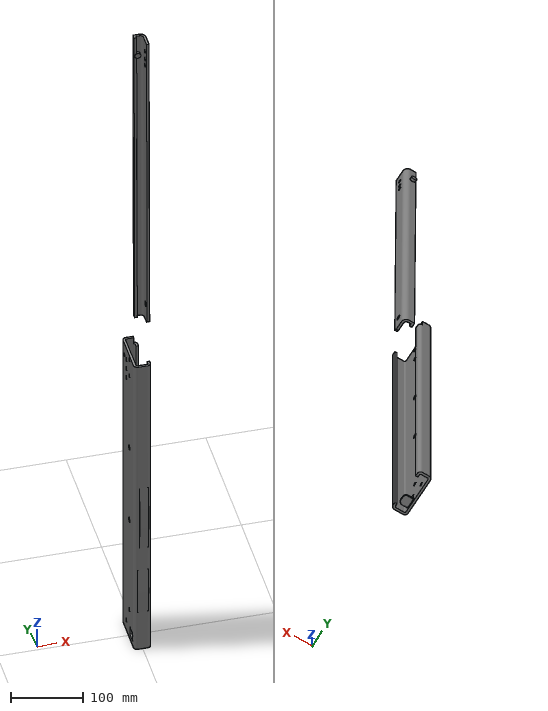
import cadquery as cq
import math

SHEET = 3.7
TOTAL_LENGTH = 1060.0
TOTAL_WIDTH = 24.0
TOTAL_DEPTH = 71.0
INNER_BEND = 1.6
OUTER_BEND = INNER_BEND + SHEET

CHANNEL_LENGTH = 500.0
PAD_HEIGHT = 2.0
NEAR_FLANGE_Y = PAD_HEIGHT
FAR_FLANGE_Y = TOTAL_DEPTH
FAR_LIP_X = 21.0
LIP_LENGTH = 10.0
LIP_NOTCH_HEIGHT = 11.0

MAIN_COLUMN_Y = 31.0
SIDE_COLUMN_Y = 48.0
LARGE_HOLE_DIAMETER = 7.0
SMALL_HOLE_DIAMETER = 5.0
LARGE_HOLES = [(MAIN_COLUMN_Y, 209.0), (MAIN_COLUMN_Y, 337.0)]
SMALL_HOLES = [
    (MAIN_COLUMN_Y, 50.0),
    (MAIN_COLUMN_Y, 464.0),
    (MAIN_COLUMN_Y, 493.0),
    (SIDE_COLUMN_Y, 18.0),
    (SIDE_COLUMN_Y, 448.0),
    (SIDE_COLUMN_Y, 464.0),
    (SIDE_COLUMN_Y, 480.0),
    (58.0, 480.0),
]

WINDOW_Y = (12.0, 28.0)
WINDOW_Z = (8.0, 21.0)
WINDOW_CHAMFER = 4.0
TONGUE_END_X = 18.0
TONGUE_THICKNESS = 3.0

LONG_PAD_X = (7.0, 20.0)
LONG_PAD_Z = (179.0, 284.0)
LONG_PAD_FLAT = 35.0
WIDE_PAD_X = (4.0, 20.0)
WIDE_PAD_Z = (66.0, 140.0)
WIDE_PAD_FLAT = 4.0

RAIL_LENGTH = 493.0
RAIL_BOTTOM_Z = TOTAL_LENGTH - RAIL_LENGTH
RAIL_NEAR_Y = 15.0
RAIL_FAR_Y = 40.0
RAIL_LIP_X = 7.0
RAIL_LIP_LENGTH = 7.0
RAIL_INNER_BEND = 4.0
RAIL_CORNER_CHAMFER = 4.0
RAIL_DRIFT = 3.7
RAIL_LARGE_HOLES = [(24.0, 596.0)]
RAIL_SMALL_HOLES = [(24.0, 1017.0), (24.0, 1027.0), (24.0, 1041.0)]
PIN_X = 13.0
PIN_Z = 1028.0
PIN_DIAMETER = 8.0
PIN_PROJECTION = 4.0


def extrude_outline(points, bottom_z, length):
    return cq.Workplane("XY").workplane(offset=bottom_z).polyline(points).close().extrude(length)


def round_bend(body, x, y, mid_z, radius):
    """Round the lengthwise edge at (x, y)."""
    return body.edges(cq.NearestToPointSelector((x, y, mid_z))).fillet(radius)


def web_holes(places, diameter):
    """Drills along X at each (y, z), long enough to cross either rail."""
    return cq.Workplane("YZ").pushPoints(places).circle(diameter / 2).extrude(TOTAL_WIDTH)


def channel_sheet():
    far_lip_inner_x = FAR_LIP_X - SHEET
    far_inner_y = FAR_FLANGE_Y - SHEET
    far_lip_end_y = FAR_FLANGE_Y - LIP_LENGTH
    near_lip_inner_x = TOTAL_WIDTH - SHEET
    near_inner_y = NEAR_FLANGE_Y + SHEET
    near_lip_end_y = NEAR_FLANGE_Y + LIP_LENGTH
    outer_corners = [
        (FAR_LIP_X, FAR_FLANGE_Y),
        (0, FAR_FLANGE_Y),
        (0, NEAR_FLANGE_Y),
        (TOTAL_WIDTH, NEAR_FLANGE_Y),
    ]
    inner_corners = [
        (near_lip_inner_x, near_inner_y),
        (SHEET, near_inner_y),
        (SHEET, far_inner_y),
        (far_lip_inner_x, far_inner_y),
    ]
    near_lip_end = [(TOTAL_WIDTH, near_lip_end_y), (near_lip_inner_x, near_lip_end_y)]
    far_lip_end = [(far_lip_inner_x, far_lip_end_y), (FAR_LIP_X, far_lip_end_y)]
    outline = outer_corners + near_lip_end + inner_corners + far_lip_end
    sheet = extrude_outline(outline, 0, CHANNEL_LENGTH)
    for x, y in outer_corners:
        sheet = round_bend(sheet, x, y, CHANNEL_LENGTH / 2, OUTER_BEND)
    for x, y in inner_corners:
        sheet = round_bend(sheet, x, y, CHANNEL_LENGTH / 2, INNER_BEND)
    return sheet


def ramped_pad(x_range, z_range, flat_length):
    """A pad on the near flange that ramps up to a flat crest in the middle."""
    x_start, x_end = x_range
    z_start, z_end = z_range
    mid_z = (z_start + z_end) / 2
    root_y = NEAR_FLANGE_Y + SHEET / 2
    crest_y = NEAR_FLANGE_Y - PAD_HEIGHT
    side = [
        (root_y, z_start),
        (NEAR_FLANGE_Y, z_start),
        (crest_y, mid_z - flat_length / 2),
        (crest_y, mid_z + flat_length / 2),
        (NEAR_FLANGE_Y, z_end),
        (root_y, z_end),
    ]
    return cq.Workplane("YZ").workplane(offset=x_start).polyline(side).close().extrude(x_end - x_start)


def window():
    y_start, y_end = WINDOW_Y
    z_start, z_end = WINDOW_Z
    outline = [
        (y_end, z_start),
        (y_end, z_end),
        (y_start + WINDOW_CHAMFER, z_end),
        (y_start, z_end - WINDOW_CHAMFER),
        (y_start, z_start),
    ]
    return cq.Workplane("YZ").polyline(outline).close().extrude(SHEET)


def tongue():
    y_start, y_end = WINDOW_Y
    lower_z = WINDOW_Z[0] - TONGUE_THICKNESS
    size = (TONGUE_END_X, y_end - y_start, TONGUE_THICKNESS)
    plate = cq.Workplane("XY").box(*size, centered=False)
    plate = plate.edges("|Z and >X").fillet(OUTER_BEND)
    return plate.translate((0, y_start, lower_z))


def lip_notch():
    """The piece missing from the top end of the far lip, including its bend."""
    size = (OUTER_BEND, LIP_LENGTH, LIP_NOTCH_HEIGHT)
    corner = (FAR_LIP_X - OUTER_BEND, FAR_FLANGE_Y - LIP_LENGTH, CHANNEL_LENGTH - LIP_NOTCH_HEIGHT)
    return cq.Workplane("XY").box(*size, centered=False).translate(corner)


def make_channel():
    channel = channel_sheet().cut(lip_notch())
    channel = channel.union(ramped_pad(LONG_PAD_X, LONG_PAD_Z, LONG_PAD_FLAT))
    channel = channel.union(ramped_pad(WIDE_PAD_X, WIDE_PAD_Z, WIDE_PAD_FLAT))
    channel = channel.cut(web_holes(LARGE_HOLES, LARGE_HOLE_DIAMETER))
    channel = channel.cut(web_holes(SMALL_HOLES, SMALL_HOLE_DIAMETER))
    return channel.cut(window()).union(tongue())


def rail_sheet():
    web_inner_x = TOTAL_WIDTH - SHEET
    flange_inner_y = RAIL_FAR_Y - SHEET
    lip_inner_x = RAIL_LIP_X + SHEET
    lip_end_y = RAIL_FAR_Y - RAIL_LIP_LENGTH
    mid_z = RAIL_BOTTOM_Z + RAIL_LENGTH / 2
    outline = [
        (TOTAL_WIDTH, RAIL_NEAR_Y),
        (TOTAL_WIDTH, RAIL_FAR_Y),
        (RAIL_LIP_X, RAIL_FAR_Y),
        (RAIL_LIP_X, lip_end_y),
        (lip_inner_x, lip_end_y),
        (lip_inner_x, flange_inner_y),
        (web_inner_x, flange_inner_y),
        (web_inner_x, RAIL_NEAR_Y),
    ]
    sheet = extrude_outline(outline, RAIL_BOTTOM_Z, RAIL_LENGTH)
    sheet = round_bend(sheet, TOTAL_WIDTH, RAIL_FAR_Y, mid_z, RAIL_INNER_BEND + SHEET)
    sheet = round_bend(sheet, web_inner_x, flange_inner_y, mid_z, RAIL_INNER_BEND)
    return sheet.edges("|X and <Y and <Z").chamfer(RAIL_CORNER_CHAMFER)


def rail_pin():
    """A pin through the rail flange that stands out on both of its faces."""
    length = SHEET + 2 * PIN_PROJECTION
    pin = cq.Workplane("XZ").circle(PIN_DIAMETER / 2).extrude(length)
    return pin.translate((PIN_X, RAIL_FAR_Y + PIN_PROJECTION, PIN_Z))


def make_rail():
    rail = rail_sheet().union(rail_pin())
    rail = rail.cut(web_holes(RAIL_LARGE_HOLES, LARGE_HOLE_DIAMETER))
    rail = rail.cut(web_holes(RAIL_SMALL_HOLES, SMALL_HOLE_DIAMETER))
    lean = math.degrees(math.asin(RAIL_DRIFT / RAIL_LENGTH))
    pivot = (0, RAIL_NEAR_Y, TOTAL_LENGTH)
    return rail.rotate(pivot, (1, RAIL_NEAR_Y, TOTAL_LENGTH), -lean)


channel = make_channel()
rail = make_rail()

result = cq.Compound.makeCompound([channel.val(), rail.val()])